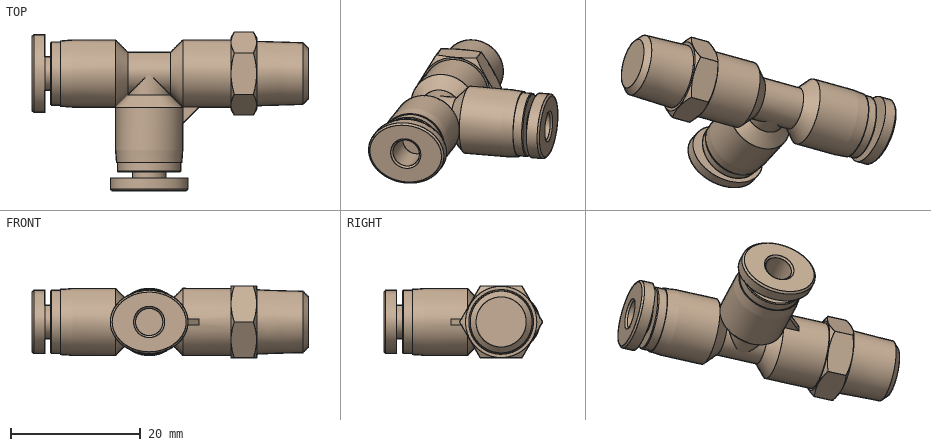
import cadquery as cq
import math


barrel_dia = 10.4
waist_dia = 6.6
nose_dia = 9.8
taper_end_dia = 10.1
shoulder = barrel_dia / 2
waist_half = waist_dia / 2
taper_start = 11.8
taper_end = 13.7
port_end = 15.2
nose_chamfer = 0.15
gusset_leg = 2.5
gusset_thickness = 0.9

neck_dia = 5.2
bore_dia = 4.2
bore_chamfer = 0.3
flange_width = 12.0
flange_height = 9.8
flange_thickness = 2.0
flange_chamfer = 0.3
sleeve_end = 18.1
flange_inner = sleeve_end - flange_thickness
socket_floor = taper_start

hex_start = 12.6
hex_length = 4.0
hex_across_flats = 11.11
hex_across_corners = hex_across_flats / math.cos(math.pi / 6)
hex_face_dia = 11.0
hex_chamfer_angle = math.radians(30)
hex_chamfer_length = (hex_across_corners - hex_face_dia) / 2 * math.tan(hex_chamfer_angle)
thread_start = hex_start + hex_length
thread_length = 8.0
thread_end = thread_start + thread_length
thread_root_dia = 9.98
thread_taper = 1 / 16
thread_chamfer = 0.9
thread_tip_dia = thread_root_dia - thread_taper * (thread_length - thread_chamfer)


def revolve_about_x(points):
    """Solid of revolution about X from (x, radius) points, closed along the axis."""
    return cq.Workplane("XY").polyline(points).close().revolve(360, (0, 0, 0), (1, 0, 0))


def to_branch(part):
    """Swing a part on the -X side of the run round onto the -Y branch."""
    return part.rotate((0, 0, 0), (0, 0, 1), 90)


port_outline = [
    (-waist_half, waist_half),
    (-shoulder, barrel_dia / 2),
    (-taper_start, barrel_dia / 2),
    (-taper_end, taper_end_dia / 2),
    (-taper_end, nose_dia / 2),
    (nose_chamfer - port_end, nose_dia / 2),
    (-port_end, nose_dia / 2 - nose_chamfer),
    (-port_end, 0),
]


def make_run():
    """Straight run: a port at -X, the waist, and a plain barrel that ends at the stud."""
    run = revolve_about_x([
        *port_outline,
        (hex_start, 0),
        (hex_start, barrel_dia / 2),
        (shoulder, barrel_dia / 2),
        (waist_half, waist_half),
    ])
    return run.rotate((0, 0, 0), (1, 0, 0), 180)


def make_branch():
    """Side port along -Y, starting at the axis crossing."""
    return to_branch(revolve_about_x([(0, 0), (0, waist_half), *port_outline]))


def make_socket():
    """Recess in the nose of the -X port that takes the neck of its sleeve."""
    return (
        cq.Workplane("YZ", origin=(-port_end, 0, 0))
        .circle(neck_dia / 2)
        .extrude(port_end - socket_floor)
    )


def make_gusset():
    """Thin triangular web in the corner between the branch and the stud arm."""
    reach = shoulder + gusset_leg
    return (
        cq.Workplane("XY")
        .polyline([
            (waist_half, -waist_half),
            (reach, -waist_half),
            (reach, -shoulder),
            (shoulder, -reach),
            (waist_half, -reach),
        ])
        .close()
        .extrude(gusset_thickness / 2, both=True)
    )


def make_housing():
    socket = make_socket()
    tee = make_run().union(make_branch()).union(make_gusset())
    return tee.cut(socket).cut(to_branch(socket))


def make_sleeve():
    """Release sleeve on the -X port: an oval flange on a round neck, bored through."""
    flange = (
        cq.Workplane("YZ", origin=(-sleeve_end, 0, 0))
        .ellipse(flange_width / 2, flange_height / 2)
        .extrude(flange_thickness)
        .faces("<X")
        .chamfer(flange_chamfer)
    )
    neck = (
        cq.Workplane("YZ", origin=(-flange_inner, 0, 0))
        .circle(neck_dia / 2)
        .extrude(flange_inner - socket_floor)
    )
    bore = revolve_about_x([
        (-sleeve_end, 0),
        (-sleeve_end, bore_dia / 2 + bore_chamfer),
        (bore_chamfer - sleeve_end, bore_dia / 2),
        (-socket_floor, bore_dia / 2),
        (-socket_floor, 0),
    ])
    return flange.union(neck).cut(bore)


def make_stud():
    """Hexagon chamfered on both faces, followed by a tapered pipe thread blank."""
    hexagon = (
        cq.Workplane("YZ", origin=(hex_start, 0, 0))
        .polygon(6, hex_across_corners)
        .extrude(hex_length)
    )
    chamfer_envelope = revolve_about_x([
        (hex_start, 0),
        (hex_start, hex_face_dia / 2),
        (hex_start + hex_chamfer_length, hex_across_corners / 2),
        (thread_start - hex_chamfer_length, hex_across_corners / 2),
        (thread_start, hex_face_dia / 2),
        (thread_start, 0),
    ])
    thread = revolve_about_x([
        (thread_start, 0),
        (thread_start, thread_root_dia / 2),
        (thread_end - thread_chamfer, thread_tip_dia / 2),
        (thread_end, thread_tip_dia / 2 - thread_chamfer),
        (thread_end, 0),
    ])
    return hexagon.intersect(chamfer_envelope).union(thread)


housing = make_housing()
stud = make_stud()
run_sleeve = make_sleeve()
sleeves = [run_sleeve, to_branch(run_sleeve)]

result = cq.Compound.makeCompound([
    housing.val(),
    stud.val(),
    *[sleeve.val() for sleeve in sleeves],
])